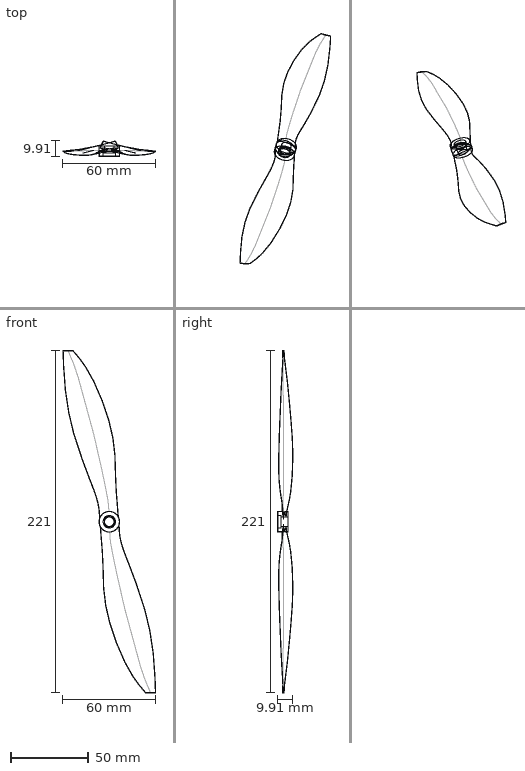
import cadquery as cq
import math

span = 221.0
tip_height = span / 2
overall_width = 60.0

hub_radius = 6.6
hub_front = -4.9
hub_back = 2.0
bore_radius = 3.0
counterbore_radius = 4.0
counterbore_depth = 2.2

blade_sections = [
    (0.0, -6.5, -1.3, 6.2, 0.9, 1.5),
    (10.4, -7.0, -1.8, 5.3, 2.0, 1.5),
    (15.7, -8.5, -2.7, 4.9, 3.0, 1.5),
    (26.5, -12.4, -4.0, 4.2, 4.5, 1.5),
    (42.5, -18.3, -4.2, 3.8, 5.0, 1.5),
    (58.3, -23.5, -3.8, 1.5, 4.5, 1.3),
    (74.3, -27.0, -3.0, -3.0, 3.0, 1.0),
    (90.2, -29.0, -2.5, -9.7, 1.5, 0.9),
    (101.0, -29.6, -1.8, -16.0, 0.2, 0.7),
    (tip_height, -overall_width / 2, -1.5, -23.5, -0.7, 0.5),
]


def section_wire(height, lead_x, lead_y, trail_x, trail_y, crown):
    """Flat-backed section whose front is an arc, divided at its crest."""
    chord_x = trail_x - lead_x
    chord_y = trail_y - lead_y
    chord = math.hypot(chord_x, chord_y)

    def front_point(fraction, rise):
        return cq.Vector(
            lead_x + fraction * chord_x + rise * chord_y / chord,
            lead_y + fraction * chord_y - rise * chord_x / chord,
            height,
        )

    arc_radius = (chord**2 / 4 + crown**2) / (2 * crown)
    quarter_rise = math.sqrt(arc_radius**2 - (chord / 4) ** 2) - (arc_radius - crown)

    lead = front_point(0, 0)
    crest = front_point(0.5, crown)
    trail = front_point(1, 0)
    return cq.Wire.assembleEdges([
        cq.Edge.makeThreePointArc(lead, front_point(0.25, quarter_rise), crest),
        cq.Edge.makeThreePointArc(crest, front_point(0.75, quarter_rise), trail),
        cq.Edge.makeLine(trail, lead),
    ])


def shaft_cylinder(radius, y_start, y_end):
    """Cylinder on the shaft axis between two Y positions."""
    length = y_end - y_start
    start = cq.Vector(0, y_start, 0)
    return cq.Workplane(cq.Solid.makeCylinder(radius, length, start, cq.Vector(0, 1, 0)))


upper_blade = cq.Workplane(cq.Solid.makeLoft([section_wire(*section) for section in blade_sections]))
lower_blade = upper_blade.rotate((0, 0, 0), (0, 1, 0), 180)

hub = shaft_cylinder(hub_radius, hub_front, hub_back)
bore = shaft_cylinder(bore_radius, hub_front, hub_back)
counterbore = shaft_cylinder(counterbore_radius, hub_front, hub_front + counterbore_depth)

result = hub.union(upper_blade).union(lower_blade).cut(bore).cut(counterbore)